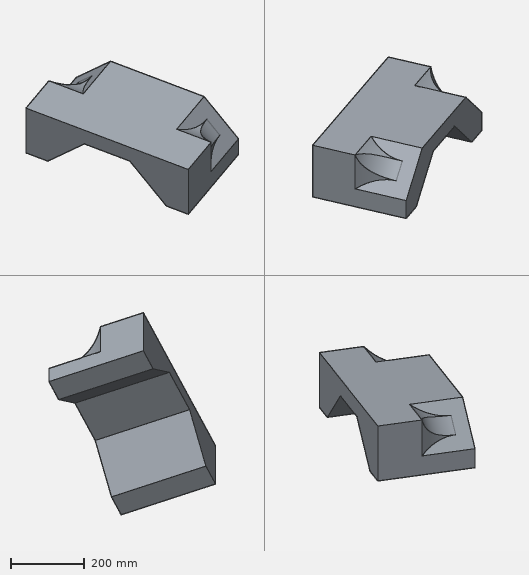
import cadquery as cq
import math

length = 508.0
width = 279.5
height = 165.0

foot_width = 68.5
arch_height = 114.5

cut_length = 152.5
corner_depth = 76.0
cut_leg = corner_depth * math.sqrt(2)
wall_y = width - cut_length

web_length = cut_leg
side_drop = 33.5

left = -length / 2


def make_block():
    block = cq.Workplane("XY").box(length, width, height, centered=(True, False, False))
    foot_x = length / 2 - foot_width
    roof_x = foot_x - arch_height
    arch = (
        cq.Workplane("XZ")
        .polyline([(-foot_x, 0), (-roof_x, arch_height), (roof_x, arch_height), (foot_x, 0)])
        .close()
        .extrude(-width)
    )
    return block.cut(arch)


def make_corner_prism():
    return (
        cq.Workplane("XZ", origin=(0, wall_y, 0))
        .polyline([(left, height), (left + cut_leg, height), (left, height - cut_leg)])
        .close()
        .extrude(-cut_length)
    )


def make_curved_slab(origin, outward, rise, base):
    """Slab below a concave arc falling by `rise` along +Y, ending parallel to Y.

    `origin` is the end of the arc at the wall, `outward` the direction of the rise;
    the slab continues to `base` below the low end of the arc.
    """
    radius = (web_length**2 + rise**2) / (2 * rise)
    half_angle = math.asin(web_length / radius) / 2
    mid_y = web_length - radius * math.sin(half_angle)
    mid_drop = rise - radius * (1 - math.cos(half_angle))
    bottom = -rise - base
    along_slab = cq.Vector(0, 1, 0).cross(cq.Vector(*outward))
    plane = cq.Plane(origin=origin, xDir=(0, 1, 0), normal=along_slab.toTuple())
    return (
        cq.Workplane(plane)
        .moveTo(0, 0)
        .threePointArc((mid_y, -mid_drop), (web_length, -rise))
        .lineTo(web_length, bottom)
        .lineTo(0, bottom)
        .close()
        .extrude(length, both=True)
    )


def make_web():
    """Web in the left corner: trimmed from above, from the end and square to the slope."""
    corner = (left, wall_y, height)
    top_side = make_curved_slab(corner, (0, 0, 1), side_drop, cut_leg)
    end_side = make_curved_slab(corner, (-1, 0, 0), side_drop, cut_leg)
    ridge = make_curved_slab(corner, (-1, 0, 1), corner_depth, corner_depth)
    return make_corner_prism().intersect(top_side).intersect(end_side).intersect(ridge)


corner_cut = make_corner_prism().cut(make_web())
result = make_block().cut(corner_cut).cut(corner_cut.mirror("YZ"))